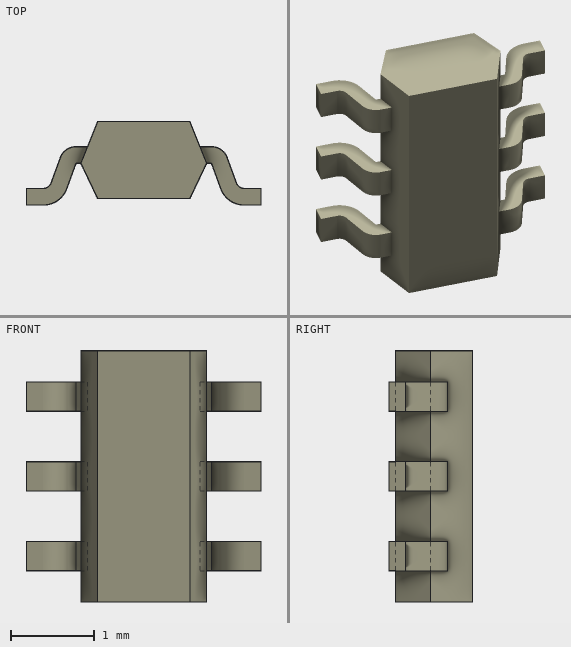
import cadquery as cq
import math

BODY_LENGTH = 3.0
BODY_WIDTH = 1.5
FACE_WIDTH = 1.1
BACK_DEPTH = 0.5
FRONT_DEPTH = 0.42

OVERALL_WIDTH = 2.8
OVERALL_DEPTH = 1.0
LEAD_THICKNESS = 0.2
LEAD_WIDTH = 0.35
LEAD_PITCH = 0.95
LEADS_PER_SIDE = 3
FOOT_LENGTH = 0.2
FOOT_INNER_RADIUS = 0.1
LEG_TILT = math.radians(20)

half_width = BODY_WIDTH / 2
half_face = FACE_WIDTH / 2


def polar(center, radius, angle):
    """Point at a radius and angle (radians) from a center."""
    return (center[0] + radius * math.cos(angle), center[1] + radius * math.sin(angle))


def make_housing():
    outline = [
        (-half_width, 0),
        (-half_face, BACK_DEPTH),
        (half_face, BACK_DEPTH),
        (half_width, 0),
        (half_face, -FRONT_DEPTH),
        (-half_face, -FRONT_DEPTH),
    ]
    return cq.Workplane("XY").polyline(outline).close().extrude(BODY_LENGTH / 2, both=True)


def make_lead():
    """Lead on the +X side, centered on Z = 0, ending flush on the sloped housing side."""
    tip_x = OVERALL_WIDTH / 2
    foot_bottom = BACK_DEPTH - OVERALL_DEPTH
    foot_top = foot_bottom + LEAD_THICKNESS
    foot_outer_radius = FOOT_INNER_RADIUS + LEAD_THICKNESS

    foot_center = (tip_x - FOOT_LENGTH, foot_bottom + foot_outer_radius)

    center_offset = (foot_outer_radius - foot_center[1] * math.sin(LEG_TILT)) / math.cos(LEG_TILT)
    shoulder_center = (foot_center[0] - center_offset, 0)

    side_slope = (half_width - half_face) / BACK_DEPTH
    root_top_x = half_width - LEAD_THICKNESS * side_slope

    leg_normal = LEG_TILT
    shoulder_middle = (math.pi / 2 + leg_normal) / 2
    foot_start = math.pi + leg_normal
    foot_middle = (foot_start + 3 * math.pi / 2) / 2

    profile = (
        cq.Workplane("XY")
        .moveTo(half_width, 0)
        .lineTo(root_top_x, LEAD_THICKNESS)
        .lineTo(shoulder_center[0], LEAD_THICKNESS)
        .threePointArc(
            polar(shoulder_center, LEAD_THICKNESS, shoulder_middle),
            polar(shoulder_center, LEAD_THICKNESS, leg_normal),
        )
        .lineTo(*polar(foot_center, FOOT_INNER_RADIUS, foot_start))
        .threePointArc(
            polar(foot_center, FOOT_INNER_RADIUS, foot_middle),
            (foot_center[0], foot_top),
        )
        .lineTo(tip_x, foot_top)
        .lineTo(tip_x, foot_bottom)
        .lineTo(foot_center[0], foot_bottom)
        .threePointArc(
            polar(foot_center, foot_outer_radius, foot_middle),
            polar(foot_center, foot_outer_radius, foot_start),
        )
        .lineTo(*shoulder_center)
        .close()
    )
    return profile.extrude(LEAD_WIDTH / 2, both=True)


housing = make_housing()

right_lead = make_lead()
left_lead = right_lead.mirror("YZ")
leads = []
for row in range(LEADS_PER_SIDE):
    row_z = (row - (LEADS_PER_SIDE - 1) / 2) * LEAD_PITCH
    for lead in (left_lead, right_lead):
        leads.append(lead.translate((0, 0, row_z)).val())

result = cq.Compound.makeCompound([housing.val(), *leads])